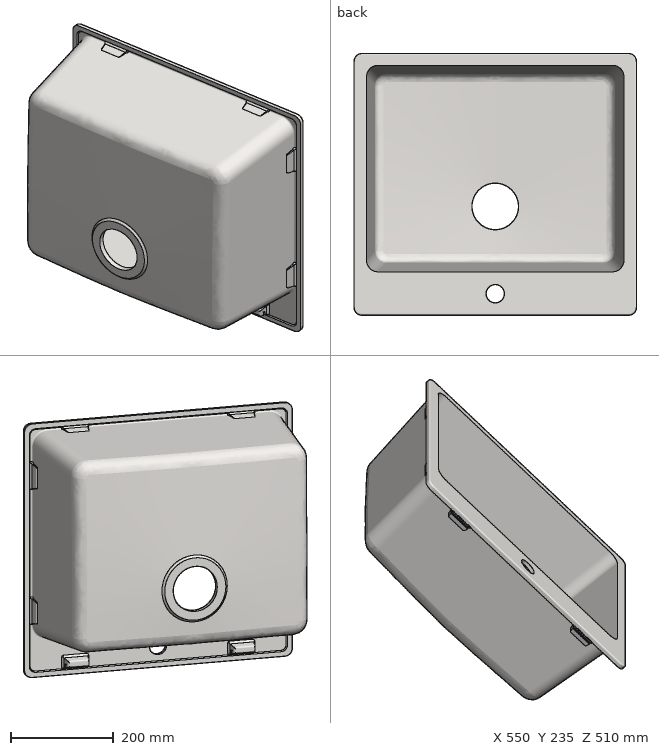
import cadquery as cq
import math


rim_width = 550.0
rim_length = 510.0
rim_thickness = 10.0
rim_corner_radius = 15.5
rim_edge_round = 3.0
border_width = 10.0
recess_depth = 2.0
recess_corner_radius = 11.0
recess_wall_angle = 45.0

wall = rim_thickness - recess_depth

bowl_half_width = 257.5
bowl_back = 238.5
bowl_front = -177.0
draft = 5.0
bowl_corner_radius = 30.0
floor_radius = 25.0
root_radius = 3.0

total_depth = 235.0
floor_slope = 3.0
drain_z = -43.0
drain_hole_diameter = 90.0
collar_face_diameter = 125.5
collar_base_diameter = 134.0
collar_height = 4.5

tap_hole_diameter = 35.0
tap_hole_z = -213.0

clip_height = 23.0
clip_foot_height = 5.5
clip_base_length = 56.0
clip_foot_length = 49.5
clip_tip_length = 43.0
clip_base_width = 28.0
clip_foot_width = 20.0
clip_tip_width = 12.0
clip_corner_radius = 5.5
clip_tip_round = 3.5
slot_width = 3.5
slot_depth = 8.0
slot_bottom_height = 10.0

clip_inset = 23.5
front_clip_inset = 25.5
end_clip_x = 170.5
side_clip_back_z = 150.5
side_clip_front_z = -121.0

overshoot = 5.5
near = 0.05

draft_tangent = math.tan(math.radians(draft))
draft_cosine = math.cos(math.radians(draft))
slope_tangent = math.tan(math.radians(floor_slope))
slope_cosine = math.cos(math.radians(floor_slope))


def plane_at(depth, z=0.0):
    """Work plane facing -Y at a depth below the rim's upper face."""
    return cq.Workplane("XZ", origin=(0, -depth, z))


def rounded_block(plane, width, length, height, radius, taper=0.0):
    outline = cq.Sketch().rect(width, length).vertices().fillet(radius)
    return plane.placeSketch(outline).extrude(height, taper=taper)


def rim():
    plate = rounded_block(plane_at(0), rim_width, rim_length, rim_thickness, rim_corner_radius)
    plate = plate.faces(">Y").edges().fillet(rim_edge_round)
    run_out = recess_depth * math.tan(math.radians(recess_wall_angle))
    recess = rounded_block(
        plane_at(wall),
        rim_width - 2 * (border_width + run_out),
        rim_length - 2 * (border_width + run_out),
        recess_depth,
        recess_corner_radius,
        -recess_wall_angle,
    )
    return plate.cut(recess)


def floor_cutters(inset):
    """Space under the conical floor, in two halves that meet at X = 0."""
    collar_base_depth = total_depth - collar_height
    tip_depth = collar_base_depth + slope_tangent * collar_base_diameter / 2 - inset / slope_cosine
    reach = rim_width
    bottom = 2 * total_depth
    profile = [
        (0, -tip_depth),
        (reach, slope_tangent * reach - tip_depth),
        (reach, -bottom),
        (0, -bottom),
    ]
    plane = cq.Plane(origin=(0, 0, drain_z), xDir=(0, 0, 1), normal=(-1, 0, 0))
    half = cq.Workplane(plane).polyline(profile).close().revolve(180, (0, 0), (0, 1))
    return half, half.mirror("YZ")


def bowl_solid(inset):
    """Drafted bowl body, moved inward from the bowl's outside by the inset."""
    grow = rim_thickness * draft_tangent - inset / draft_cosine
    width = 2 * (bowl_half_width + grow)
    length = bowl_back - bowl_front + 2 * grow
    middle = (bowl_back + bowl_front) / 2
    body = plane_at(0, middle).rect(width, length).extrude(total_depth + overshoot, taper=draft)
    body = body.edges("not(|X or |Z)").fillet(bowl_corner_radius - inset)
    for cutter in floor_cutters(inset):
        body = body.cut(cutter)
    floor_edges = body.faces("%CONE").edges().filter(lambda edge: abs(edge.Center().x) > near)
    return body.newObject(floor_edges.vals()).fillet(floor_radius - inset)


def rim_with_bowl():
    """Rim and solid bowl, blended where the bowl leaves the recess floor."""
    body = rim().union(bowl_solid(0), clean=False)
    recess_floor = body.faces("|Y").filter(lambda face: abs(face.Center().y + wall) < near)
    root_edges = recess_floor.val().innerWires()[0].Edges()
    return body.newObject(root_edges).fillet(root_radius)


def drain_collar():
    base_radius = collar_base_diameter / 2
    taper = math.degrees(math.atan2(base_radius - collar_face_diameter / 2, collar_height))
    base_plane = plane_at(total_depth - collar_height, drain_z)
    return base_plane.circle(base_radius).extrude(collar_height, taper=taper)


def drilled_hole(diameter, z):
    return plane_at(-overshoot, z).circle(diameter / 2).extrude(total_depth + 2 * overshoot)


def clip_outline(plane, base, foot, tip):
    """Symmetric outline that narrows quickly to the foot and then slowly to the tip."""
    points = [
        (base / 2, 0),
        (foot / 2, clip_foot_height),
        (tip / 2, clip_height),
        (-tip / 2, clip_height),
        (-foot / 2, clip_foot_height),
        (-base / 2, 0),
    ]
    return cq.Workplane(plane).polyline(points).close()


def clip():
    """Hook standing on Z = 0, long in X, with its slot open toward -Y."""
    long_side = clip_outline("XZ", clip_base_length, clip_foot_length, clip_tip_length)
    short_side = clip_outline("YZ", clip_base_width, clip_foot_width, clip_tip_width)
    hook = rounded_block(
        cq.Workplane("XY"), clip_base_length, clip_base_width, clip_height, clip_corner_radius
    )
    hook = hook.intersect(long_side.extrude(clip_base_width, both=True))
    hook = hook.intersect(short_side.extrude(clip_base_length, both=True))
    hook = hook.faces(">Z").edges().fillet(clip_tip_round)
    slot = cq.Workplane("XY").box(clip_base_length, slot_depth, slot_width)
    slot_y = (slot_depth - clip_foot_width) / 2
    slot_z = slot_bottom_height + slot_width / 2
    return hook.cut(slot.translate((0, slot_y, slot_z)))


def placed_clip(turn, x, z):
    """Clip on the recess floor, turned about Y."""
    hook = clip().rotate((0, 0, 0), (1, 0, 0), 90)
    hook = hook.rotate((0, 0, 0), (0, 1, 0), turn)
    return hook.translate((x, -wall, z))


side_clip_x = rim_width / 2 - clip_inset
back_clip_z = rim_length / 2 - clip_inset
front_clip_z = front_clip_inset - rim_length / 2
clip_places = []
for side in (-1, 1):
    for z in (front_clip_z, back_clip_z):
        clip_places.append((0, side * end_clip_x, z))
    for z in (side_clip_front_z, side_clip_back_z):
        clip_places.append((side * 90, side * side_clip_x, z))

result = rim_with_bowl().union(drain_collar(), clean=False)
for turn, x, z in clip_places:
    result = result.union(placed_clip(turn, x, z), clean=False)

cavity = bowl_solid(wall)
drain_hole = drilled_hole(drain_hole_diameter, drain_z)
tap_hole = drilled_hole(tap_hole_diameter, tap_hole_z)
for opening in (cavity, drain_hole, tap_hole):
    result = result.cut(opening, clean=False)